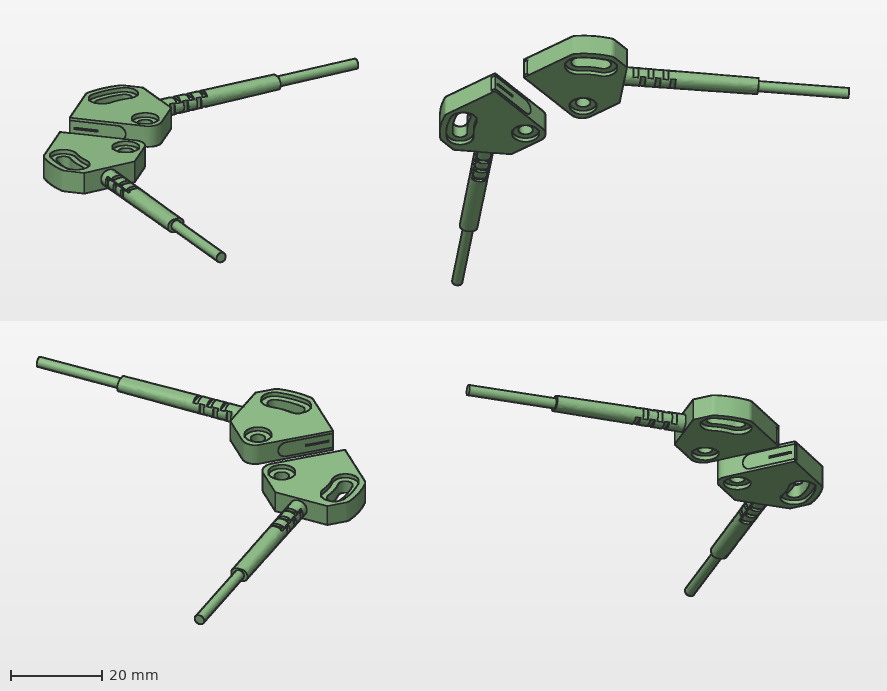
import cadquery as cq
import math


side = 20.0
thickness = 5.0
gap = 8.0
sensing_y = gap / 2
back_y = sensing_y + side
cable_corner = 9.0
slot_corner_radius = 18.8
slot_corner_fillet = 1.9
hole_corner_fillet = 3.0

hole_diameter = 3.2
counterbore_diameter = 6.0
counterbore_depth = 1.0
hole_inset = 4.0
hole_x = side - hole_inset
hole_y = sensing_y + hole_inset
slot_radius = 14.4
slot_half_angle = 11.2
slot_direction = 135.0

window_length = 12.7
window_height = 3.7
window_depth = 1.0
slit_start = 1.0
slit_length = 5.3
slit_height = 0.3
slit_depth = 0.3

cable_diameter = 2.3
cable_end = 49.7
relief_length = 29.7
relief_base = (4.1, 3.9)
relief_tip = (4.0, 3.1)
tip_length = 0.3
notch_width = 1.1
side_notch_depth = 0.5
flat_notch_depth = 0.8
notch_pitch = 3.3
notch_count = 3
side_notch_start = 2.0
flat_notch_start = side_notch_start + notch_pitch / 2
cable_shifts = {"upper": 0.7, "lower": -0.1}


def around_hole(radius, angle):
    """Point at a distance and direction, in degrees, from the hole centre."""
    turn = math.radians(angle)
    return (hole_x + radius * math.cos(turn), hole_y + radius * math.sin(turn))


left_corner_y = hole_y + math.sqrt(slot_corner_radius**2 - hole_x**2)
back_corner_x = hole_x - math.sqrt(slot_corner_radius**2 - (back_y - hole_y) ** 2)


def housing_outline():
    """Housing outline, with the corner beside the slot as one arc."""
    return (
        cq.Workplane("XY")
        .workplane(offset=-thickness / 2)
        .moveTo(0, sensing_y)
        .lineTo(side, sensing_y)
        .lineTo(side, back_y - cable_corner)
        .lineTo(side - cable_corner, back_y)
        .lineTo(back_corner_x, back_y)
        .threePointArc(around_hole(slot_corner_radius, slot_direction), (0, left_corner_y))
        .close()
    )


def vertical_edge(x, y):
    """Selector for the vertical edge at one outline corner."""
    reach = 0.1
    return cq.selectors.BoxSelector(
        (x - reach, y - reach, -thickness), (x + reach, y + reach, thickness)
    )


def arc_slot(width, depth):
    """Round-ended slot curved about the hole, going down from the top face."""
    inner = slot_radius - width / 2
    outer = slot_radius + width / 2
    start = slot_direction - slot_half_angle
    end = slot_direction + slot_half_angle
    return (
        cq.Workplane("XY")
        .workplane(offset=thickness / 2)
        .moveTo(*around_hole(inner, start))
        .threePointArc(around_hole(inner, slot_direction), around_hole(inner, end))
        .tangentArcPoint(around_hole(outer, end), relative=False)
        .threePointArc(around_hole(outer, slot_direction), around_hole(outer, start))
        .tangentArcPoint(around_hole(inner, start), relative=False)
        .close()
        .extrude(-depth)
    )


def round_hole(diameter, depth):
    """Mounting hole or its counterbore, going down from the top face."""
    return (
        cq.Workplane("XY", origin=(hole_x, hole_y, thickness / 2))
        .circle(diameter / 2)
        .extrude(-depth)
    )


def make_window_block():
    """Block with a square end at the housing corner and one round end."""
    radius = window_height / 2
    straight = window_length - radius
    return (
        cq.Workplane("XZ", origin=(0, sensing_y, 0))
        .moveTo(0, -radius)
        .lineTo(straight, -radius)
        .threePointArc((window_length, 0), (straight, radius))
        .lineTo(0, radius)
        .close()
        .extrude(-window_depth)
    )


def make_housing():
    body = housing_outline().extrude(thickness)
    body = body.edges(vertical_edge(side, sensing_y)).fillet(hole_corner_fillet)
    body = body.edges(vertical_edge(0, left_corner_y)).fillet(slot_corner_fillet)
    body = body.edges(vertical_edge(back_corner_x, back_y)).fillet(slot_corner_fillet)

    slot = arc_slot(hole_diameter, thickness)
    hole = round_hole(hole_diameter, thickness)
    body = body.cut(slot).cut(hole)

    slot_recess = arc_slot(counterbore_diameter, counterbore_depth)
    hole_recess = round_hole(counterbore_diameter, counterbore_depth)
    for recess in (slot_recess, hole_recess):
        body = body.cut(recess).cut(recess.mirror("XY"))

    return body.cut(make_window_block())


def make_window():
    slit = cq.Workplane("XY").box(
        slit_length, slit_depth, slit_height, centered=(False, False, True)
    )
    return make_window_block().cut(slit.translate((slit_start, sensing_y, 0)))


def make_relief():
    """Strain relief along +X from the origin, flattening from its base to its tip."""
    relief = (
        cq.Workplane("YZ")
        .slot2D(*relief_base)
        .workplane(offset=relief_length - tip_length)
        .slot2D(*relief_tip)
        .loft(ruled=True, combine=True)
    )
    tip = cq.Workplane("YZ").workplane(offset=relief_length - tip_length)
    relief = relief.union(tip.slot2D(*relief_tip).extrude(tip_length))

    base_width, base_height = relief_base
    cutter = cq.Workplane("XY").box(
        notch_width, base_width, base_width, centered=(False, True, True)
    )
    side_offset = base_width - side_notch_depth
    flat_offset = (base_height + base_width) / 2 - flat_notch_depth
    for index in range(notch_count):
        side_x = side_notch_start + index * notch_pitch
        flat_x = flat_notch_start + index * notch_pitch
        for sign in (-1, 1):
            relief = relief.cut(cutter.translate((side_x, sign * side_offset, 0)))
            relief = relief.cut(cutter.translate((flat_x, 0, sign * flat_offset)))
    return relief


def make_cable(shift):
    """Cable and its strain relief, square to the corner face and shifted along it."""
    core = (
        cq.Workplane("YZ")
        .workplane(offset=relief_length)
        .circle(cable_diameter / 2)
        .extrude(cable_end - relief_length)
    )
    cable = make_relief().union(core)
    cable = cable.translate((0, -shift, 0))
    cable = cable.rotate((0, 0, 0), (0, 0, 1), 45)
    return cable.translate((side - cable_corner / 2, back_y - cable_corner / 2, 0))


bodies = []
for position, shift in cable_shifts.items():
    for body in (make_housing(), make_window(), make_cable(shift)):
        if position == "lower":
            body = body.mirror("XZ")
        bodies.append(body.val())

result = cq.Compound.makeCompound(bodies)